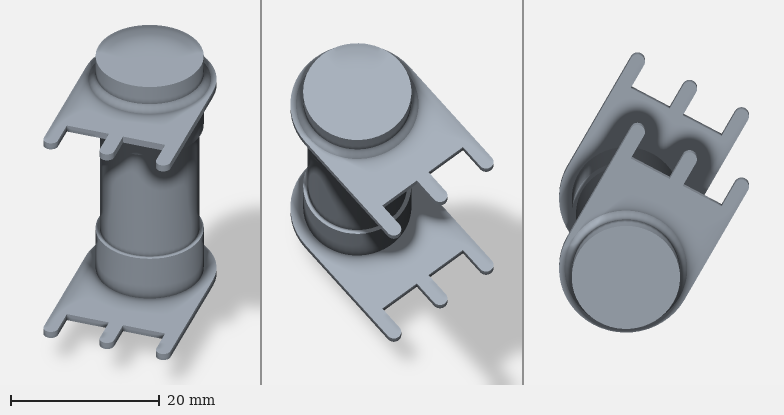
import cadquery as cq

total_height = 39.5
plate_width = 18.0
plate_length = 27.7

tube_diameter = 13.43
cap_diameter = 14.58
cap_length = 11.25
flare_diameter = 16.5
flare_height = 0.95

plate_thickness = 1.0
plate_outer_face_depth = 3.75

pin_width = 2.0
pin_length = 4.7

plate_radius = plate_width / 2
pin_tip_y = plate_radius - plate_length
pin_root_y = pin_tip_y + pin_length
pin_radius = pin_width / 2
outer_pin_x = plate_radius - pin_radius
half_height = total_height / 2


def body_end():
    """Upper cap with the flare that seats on the outer face of the plate."""
    plate_face_z = half_height - plate_outer_face_depth
    cap = (
        cq.Workplane("XY")
        .workplane(offset=half_height - cap_length)
        .circle(cap_diameter / 2)
        .extrude(cap_length)
    )
    flare = (
        cq.Workplane("XY")
        .workplane(offset=plate_face_z)
        .circle(flare_diameter / 2)
        .workplane(offset=flare_height)
        .circle(cap_diameter / 2)
        .loft(ruled=True)
    )
    return cap.union(flare)


def pin(x):
    """Flat pin with a rounded tip."""
    pin_tip_center_y = pin_tip_y + pin_radius
    return (
        cq.Workplane("XY")
        .moveTo(x - pin_radius, pin_root_y)
        .lineTo(x - pin_radius, pin_tip_center_y)
        .threePointArc((x, pin_tip_y), (x + pin_radius, pin_tip_center_y))
        .lineTo(x + pin_radius, pin_root_y)
        .close()
        .extrude(plate_thickness)
    )


def mounting_plate():
    """Plate with a round back edge and three pins, placed at the upper end."""
    plate = (
        cq.Workplane("XY")
        .moveTo(-plate_radius, pin_root_y)
        .lineTo(-plate_radius, 0)
        .threePointArc((0, plate_radius), (plate_radius, 0))
        .lineTo(plate_radius, pin_root_y)
        .close()
        .extrude(plate_thickness)
    )
    for x in (-outer_pin_x, 0, outer_pin_x):
        plate = plate.union(pin(x))
    bottom_z = half_height - plate_outer_face_depth - plate_thickness
    return plate.translate((0, 0, bottom_z))


tube = cq.Workplane("XY").circle(tube_diameter / 2).extrude(half_height, both=True)
upper_end = body_end().union(mounting_plate())
lower_end = upper_end.mirror("XY")

result = tube.union(upper_end).union(lower_end)